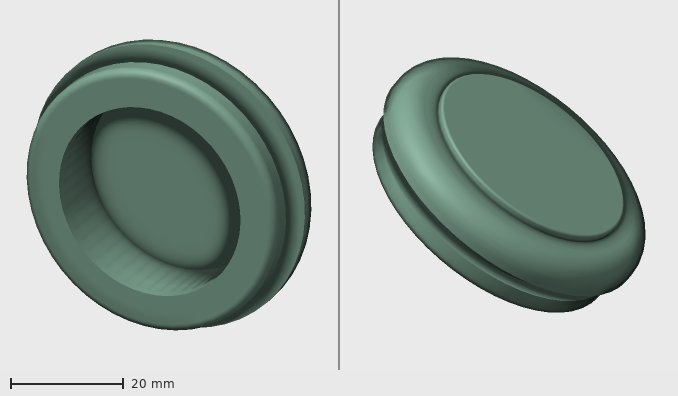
import cadquery as cq


flange_radius = 27.0
lip_radius = 25.0
groove_radius = 22.0
boss_radius = 19.5
pocket_radius = 18.0

lip_width = 4.0
groove_width = 3.5
flange_width = 6.0
boss_height = 1.5
pocket_depth = 12.7

lip_fillet = 1.5
flange_fillet = 4.5
boss_fillet = 0.5


def disc(radius, start, width):
    """Solid disc on the Y axis, running from y = start towards +Y."""
    axis_start = cq.Vector(0, start, 0)
    axis_direction = cq.Vector(0, 1, 0)
    return cq.Workplane(cq.Solid.makeCylinder(radius, width, axis_start, axis_direction))


groove_start = lip_width
flange_start = groove_start + groove_width
boss_start = flange_start + flange_width

lip = disc(lip_radius, 0, lip_width).faces("<Y").edges().fillet(lip_fillet)
groove_core = disc(groove_radius, groove_start, groove_width)
flange = disc(flange_radius, flange_start, flange_width).faces(">Y").edges().fillet(flange_fillet)
boss = disc(boss_radius, boss_start, boss_height).faces(">Y").edges().fillet(boss_fillet)
pocket = disc(pocket_radius, 0, pocket_depth)

result = lip.union(groove_core).union(flange).union(boss).cut(pocket)